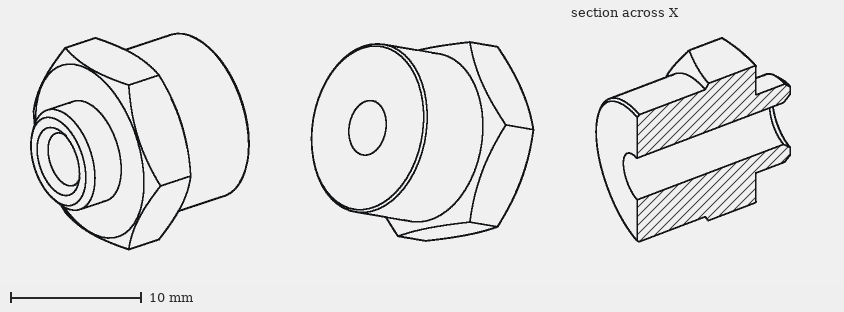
import cadquery as cq
import math

ACROSS_CORNERS = 16.17
HEX_LENGTH = 4.5
CORNER_CHAMFER_ANGLE = 30.0
FRONT_FACE_DIAMETER = 13.8

SPIGOT_DIAMETER = 8.0
SPIGOT_LENGTH = 3.0
SPIGOT_CHAMFER = 0.5

BARREL_DIAMETER = 13.0
BARREL_LENGTH = 6.0
BARREL_CHAMFER = 0.2

BORE_DIAMETER = 4.2
COUNTERSINK_DIAMETER = 5.4

SPIGOT_END = -SPIGOT_LENGTH
BARREL_END = HEX_LENGTH + BARREL_LENGTH


def revolve_about_y(profile):
    """Revolve a closed (radius, y) profile about the Y axis."""
    return cq.Workplane("XY").polyline(profile).close().revolve(360, (0, 0, 0), (0, 1, 0))


def hexagon_collar():
    """Hexagonal prism whose corners are trimmed by a cone at each face."""
    prism = cq.Workplane("XZ").polygon(6, ACROSS_CORNERS).extrude(-HEX_LENGTH)
    corner_radius = ACROSS_CORNERS / 2
    front_radius = FRONT_FACE_DIAMETER / 2
    back_radius = BARREL_DIAMETER / 2
    slope = math.tan(math.radians(CORNER_CHAMFER_ANGLE))
    envelope = revolve_about_y([
        (0, 0),
        (front_radius, 0),
        (corner_radius, (corner_radius - front_radius) * slope),
        (corner_radius, HEX_LENGTH - (corner_radius - back_radius) * slope),
        (back_radius, HEX_LENGTH),
        (0, HEX_LENGTH),
    ])
    return prism.intersect(envelope)


def turned_body():
    """Spigot and barrel, each with a chamfered free end."""
    spigot_radius = SPIGOT_DIAMETER / 2
    barrel_radius = BARREL_DIAMETER / 2
    return revolve_about_y([
        (0, SPIGOT_END),
        (spigot_radius - SPIGOT_CHAMFER, SPIGOT_END),
        (spigot_radius, SPIGOT_END + SPIGOT_CHAMFER),
        (spigot_radius, HEX_LENGTH / 2),
        (barrel_radius, HEX_LENGTH / 2),
        (barrel_radius, BARREL_END - BARREL_CHAMFER),
        (barrel_radius - BARREL_CHAMFER, BARREL_END),
        (0, BARREL_END),
    ])


def countersunk_bore():
    """Material removed by the through bore and its countersink."""
    bore_radius = BORE_DIAMETER / 2
    countersink_radius = COUNTERSINK_DIAMETER / 2
    countersink_depth = countersink_radius - bore_radius
    return revolve_about_y([
        (0, SPIGOT_END),
        (countersink_radius, SPIGOT_END),
        (bore_radius, SPIGOT_END + countersink_depth),
        (bore_radius, BARREL_END),
        (0, BARREL_END),
    ])


result = hexagon_collar().union(turned_body()).cut(countersunk_bore())